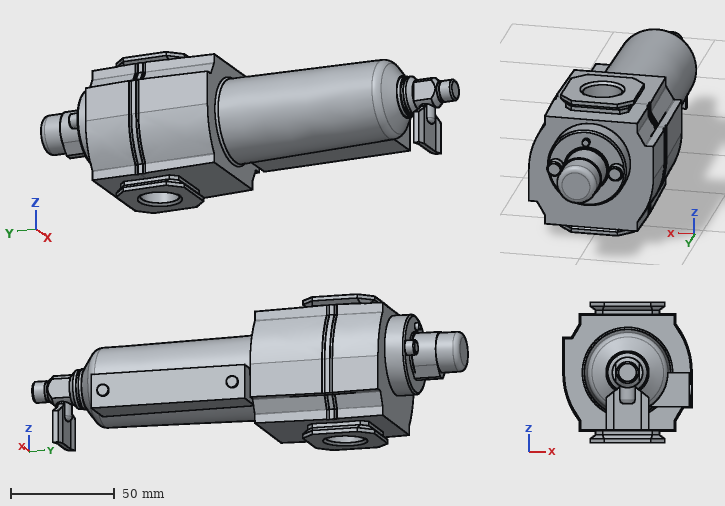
import cadquery as cq
import math


HOUSING_TOP_Y = 25.5
HOUSING_BOTTOM_Y = -38.8
HOUSING_WIDTH = 62.4
HOUSING_HALF_HEIGHT = 28.3
FACE_HALF_WIDTH = 23.3
SHOULDER_Z = 23.3
LEDGE_Z = 17.0
LEDGE_INNER_X = 27.0
DRAFT_ANGLE = 1.0
BAND_HALF_LENGTH = 2.5
BAND_DEPTH = 0.1
GROOVE_WIDTH = 1.3
GROOVE_DEPTH = 0.6

FLANGE_SIZE = 36.0
FLANGE_CORNER = 6.7
OVERALL_HEIGHT = 68.0
FLANGE_FACE_Z = OVERALL_HEIGHT / 2
FLANGE_RIM = 2.0
FLANGE_TAPER_HEIGHT = 2.0
FLANGE_NECK_SIZE = 30.9
FLANGE_NECK_CORNER = 3.5
FLANGE_NECK_OVERLAP = 2.2
PORT_RADIUS = 9.5
PORT_DEPTH = 17.3
PORT_CHAMFER = 1.3
PORT_TURNS = (0, 180)

CAP_Z = 6.5
CAP_RADIUS = 19.5
CAP_FACE_Y = 35.4
CAP_CHAMFER = 0.9
COLLAR_RADIUS = 11.0
COLLAR_HEIGHT = 1.0
STEM_DIAMETER = 20.5
STEM_RADIUS = STEM_DIAMETER / 2
STEM_TOP_Y = 48.3
KNOB_RADIUS = 9.7
KNOB_TOP_Y = 59.5
KNOB_ROUND = 2.8
KEEL_DROP = 12.3
SCREW_SPACING = 30.0
SCREW_OFFSET_X = SCREW_SPACING / 2
SCREW_RADIUS = 3.7
SCREW_HEIGHT = 4.7
SCREW_CHAMFER = 0.6
PIN_RADIUS = 1.7
PIN_HEIGHT = 2.0
PIN_OFFSET_Z = 13.8

BOWL_COLLAR_RADIUS = 21.8
BOWL_COLLAR_HEIGHT = 1.3
BOWL_TOP_DIAMETER = 41.6
BOWL_TOP_RADIUS = BOWL_TOP_DIAMETER / 2
BOWL_END_RADIUS = 19.5
BOWL_END_Y = -120.6
BOWL_CONE_START_Y = -124.5
BOWL_CONE_START_RADIUS = 17.3
BOWL_ROUND_MID_Y = -122.8
BOWL_ROUND_MID_RADIUS = 18.8
BOWL_TIP_Y = -129.7
BOWL_TIP_RADIUS = 10.4

GAUGE_OUTER_X = 29.8
GAUGE_INNER_X = 8.6
GAUGE_TOP_Y = -41.9
GAUGE_BOTTOM_Y = -119.0
GAUGE_BOTTOM_Z = -16.6
GAUGE_SCREW_RADIUS = 2.8
GAUGE_SCREW_HEIGHT = 1.3
GAUGE_SCREW_INSET = 6.0

DRAIN_COLLAR_RADIUS = 10.0
DRAIN_COLLAR_END_Y = -131.5
DRAIN_NECK_RADIUS = 9.0
DRAIN_RING_RADIUS = 9.5
DRAIN_RING_START_Y = -132.7
DRAIN_RING_END_Y = -134.2
DRAIN_BODY_RADIUS = 7.3
DRAIN_BODY_START_Y = -136.5
DRAIN_BODY_END_Y = -145.9
DRAIN_TAPER_END_Y = -148.5
DRAIN_FLAT_X = 5.6
SPOUT_GROOVE_RADIUS = 4.7
SPOUT_START_Y = -149.8
SPOUT_RADIUS = 5.2
SPOUT_END_Y = -156.2
SPOUT_CHAMFER = 0.9

LEVER_Y = -141.3
LEVER_STEM_RADIUS = 3.9
LEVER_STEM_BOTTOM_Z = -15.0
LEVER_STEM_ROUND = 2.0
LEVER_BOTTOM_Z = -27.6
LEVER_WIDTH = 20.5
LEVER_HALF_WIDTH = LEVER_WIDTH / 2
LEVER_THICKNESS = 2.8
LEVER_BEND_X = 6.7
LEVER_BEND_RISE = 1.3
LEVER_SHOULDER_Z = -12.0
LEVER_TOP_HALF_WIDTH = 4.3
LEVER_TOP_Z = -7.3


def cylinder_along_y(radius, start_y, end_y, x=0.0, z=0.0):
    """Cylinder parallel to Y, running from start_y to end_y."""
    direction = cq.Vector(0, math.copysign(1, end_y - start_y), 0)
    base = cq.Vector(x, start_y, z)
    return cq.Workplane(cq.Solid.makeCylinder(radius, abs(end_y - start_y), base, direction))


def box_between(x_range, y_range, z_range):
    """Box given by its lower and upper limit along each axis."""
    sizes = [high - low for low, high in (x_range, y_range, z_range)]
    return cq.Workplane().box(*sizes, centered=False).translate((x_range[0], y_range[0], z_range[0]))


def spin_about_y(profile):
    """Revolve a closed profile of (radius, y) about the Y axis."""
    return profile.close().revolve(360, (0, 0), (0, 1))


def housing_outline(y, side_inset=0.0):
    """Cross-section at y: an arc on one half of each side, a stepped ledge on the other."""
    half_width = HOUSING_WIDTH / 2 + BAND_HALF_LENGTH * math.tan(math.radians(DRAFT_ANGLE))
    side = half_width - side_inset
    face = FACE_HALF_WIDTH - side_inset
    ledge = LEDGE_INNER_X - side_inset
    bulge = side - face
    arc_radius = (bulge**2 + SHOULDER_Z**2) / (2 * bulge)
    half_angle = math.asin(SHOULDER_Z / arc_radius) / 2
    arc_mid_x = side - arc_radius * (1 - math.cos(half_angle))
    arc_mid_z = arc_radius * math.sin(half_angle)
    outline = cq.Workplane("XZ", origin=(0, y, 0)).moveTo(face, HOUSING_HALF_HEIGHT)
    for turn in (1, -1):
        outline = (
            outline.lineTo(turn * face, turn * SHOULDER_Z)
            .threePointArc((turn * arc_mid_x, turn * arc_mid_z), (turn * side, 0))
            .lineTo(turn * side, -turn * LEDGE_Z)
            .lineTo(turn * ledge, -turn * LEDGE_Z)
            .lineTo(turn * face, -turn * SHOULDER_Z)
            .lineTo(turn * face, -turn * HOUSING_HALF_HEIGHT)
        )
        if turn == 1:
            outline = outline.lineTo(-face, -HOUSING_HALF_HEIGHT)
    return outline.close()


def side_recess(start_y, length, depth):
    """Straight-walled cutter across both sides; the port faces stay uncut."""
    kept_core = housing_outline(start_y, depth).extrude(length)
    return housing_outline(start_y).extrude(length).cut(kept_core)


def octagon(z, size, corner):
    """Square with cut corners on a plane of constant z."""
    half_size = size / 2
    flat = half_size - corner
    corners = [
        (half_size, flat), (flat, half_size), (-flat, half_size), (-half_size, flat),
        (-half_size, -flat), (-flat, -half_size), (flat, -half_size), (half_size, -flat),
    ]
    return cq.Workplane("XY", origin=(0, 0, z)).polyline(corners).close()


def port_flange():
    """Upper flange: rim, tapered underside and neck reaching into the housing."""
    rim_z = FLANGE_FACE_Z - FLANGE_RIM
    neck_z = rim_z - FLANGE_TAPER_HEIGHT
    neck_root_z = HOUSING_HALF_HEIGHT - FLANGE_NECK_OVERLAP
    rim = octagon(rim_z, FLANGE_SIZE, FLANGE_CORNER).extrude(FLANGE_RIM)
    rim_wire = octagon(rim_z, FLANGE_SIZE, FLANGE_CORNER).wire().val()
    neck_wire = octagon(neck_z, FLANGE_NECK_SIZE, FLANGE_NECK_CORNER).wire().val()
    taper = cq.Workplane(cq.Solid.makeLoft([neck_wire, rim_wire], True))
    neck = octagon(neck_root_z, FLANGE_NECK_SIZE, FLANGE_NECK_CORNER).extrude(neck_z - neck_root_z)
    return rim.union(taper).union(neck)


def port_bore():
    """Blind bore of the upper port with a countersunk mouth."""
    floor_z = FLANGE_FACE_Z - PORT_DEPTH
    bore = cq.Workplane("XY", origin=(0, 0, floor_z)).circle(PORT_RADIUS).extrude(PORT_DEPTH)
    mouth = cq.Solid.makeCone(
        PORT_RADIUS, PORT_RADIUS + PORT_CHAMFER, PORT_CHAMFER, cq.Vector(0, 0, FLANGE_FACE_Z - PORT_CHAMFER)
    )
    return bore.union(cq.Workplane(mouth))


def make_housing():
    upper = housing_outline(0).extrude(-HOUSING_TOP_Y, taper=DRAFT_ANGLE)
    lower = housing_outline(0).extrude(-HOUSING_BOTTOM_Y, taper=DRAFT_ANGLE)
    body = upper.union(lower)
    body = body.cut(side_recess(BAND_HALF_LENGTH, 2 * BAND_HALF_LENGTH, BAND_DEPTH))
    for groove_start_y in (BAND_HALF_LENGTH, GROOVE_WIDTH - BAND_HALF_LENGTH):
        body = body.cut(side_recess(groove_start_y, GROOVE_WIDTH, GROOVE_DEPTH))
    for turn in PORT_TURNS:
        body = body.union(port_flange().rotate((0, 0, 0), (0, 1, 0), turn))
        body = body.cut(port_bore().rotate((0, 0, 0), (0, 1, 0), turn))
    return body


def stem_keel():
    """Keel under the stem: two 45 degree faces tangent to it, ending in a narrow flat."""
    tangent_offset = STEM_RADIUS / math.sqrt(2)
    flat_half_width = STEM_RADIUS * math.sqrt(2) - KEEL_DROP
    return (
        cq.Workplane("XZ", origin=(0, STEM_TOP_Y, CAP_Z))
        .moveTo(0, 0)
        .lineTo(tangent_offset, -tangent_offset)
        .lineTo(flat_half_width, -KEEL_DROP)
        .lineTo(-flat_half_width, -KEEL_DROP)
        .lineTo(-tangent_offset, -tangent_offset)
        .close()
        .extrude(STEM_TOP_Y - CAP_FACE_Y)
    )


def make_indicator_cap():
    disc = cylinder_along_y(CAP_RADIUS, HOUSING_TOP_Y, CAP_FACE_Y, z=CAP_Z).faces(">Y").chamfer(CAP_CHAMFER)
    collar_top_y = CAP_FACE_Y + COLLAR_HEIGHT
    collar = cylinder_along_y(COLLAR_RADIUS, CAP_FACE_Y, collar_top_y, z=CAP_Z)
    stem = cylinder_along_y(STEM_RADIUS, CAP_FACE_Y, STEM_TOP_Y, z=CAP_Z)
    knob = cylinder_along_y(KNOB_RADIUS, STEM_TOP_Y, KNOB_TOP_Y, z=CAP_Z).faces(">Y").fillet(KNOB_ROUND)
    cap = disc.union(collar).union(stem).union(knob).union(stem_keel())
    for x in (-SCREW_OFFSET_X, SCREW_OFFSET_X):
        screw_head = cylinder_along_y(SCREW_RADIUS, CAP_FACE_Y, CAP_FACE_Y + SCREW_HEIGHT, x, CAP_Z)
        cap = cap.union(screw_head.faces(">Y").chamfer(SCREW_CHAMFER))
    pin = cylinder_along_y(PIN_RADIUS, CAP_FACE_Y, CAP_FACE_Y + PIN_HEIGHT, z=CAP_Z + PIN_OFFSET_Z)
    return cap.union(pin)


def make_bowl():
    profile = (
        cq.Workplane("XY")
        .moveTo(0, HOUSING_BOTTOM_Y)
        .lineTo(BOWL_COLLAR_RADIUS, HOUSING_BOTTOM_Y)
        .lineTo(BOWL_TOP_RADIUS, HOUSING_BOTTOM_Y - BOWL_COLLAR_HEIGHT)
        .lineTo(BOWL_END_RADIUS, BOWL_END_Y)
        .threePointArc(
            (BOWL_ROUND_MID_RADIUS, BOWL_ROUND_MID_Y), (BOWL_CONE_START_RADIUS, BOWL_CONE_START_Y)
        )
        .lineTo(BOWL_TIP_RADIUS, BOWL_TIP_Y)
        .lineTo(0, BOWL_TIP_Y)
    )
    return spin_about_y(profile)


def make_sight_gauge(bowl):
    """Block against the bowl, its inner side shaped by the bowl wall."""
    block = box_between((GAUGE_INNER_X, GAUGE_OUTER_X), (GAUGE_BOTTOM_Y, GAUGE_TOP_Y), (GAUGE_BOTTOM_Z, 0))
    gauge = block.cut(bowl)
    for y in (GAUGE_TOP_Y - GAUGE_SCREW_INSET, GAUGE_BOTTOM_Y + GAUGE_SCREW_INSET):
        screw_plane = cq.Workplane("YZ", origin=(GAUGE_OUTER_X, y, GAUGE_BOTTOM_Z / 2))
        gauge = gauge.union(screw_plane.circle(GAUGE_SCREW_RADIUS).extrude(GAUGE_SCREW_HEIGHT))
    return gauge


def drain_stem():
    """Turned core: collar, ring and a body with two flats, then the spout."""
    fitting = spin_about_y(
        cq.Workplane("XY")
        .moveTo(0, BOWL_TIP_Y)
        .lineTo(DRAIN_COLLAR_RADIUS, BOWL_TIP_Y)
        .lineTo(DRAIN_COLLAR_RADIUS, DRAIN_COLLAR_END_Y)
        .lineTo(DRAIN_NECK_RADIUS, DRAIN_COLLAR_END_Y)
        .lineTo(DRAIN_NECK_RADIUS, DRAIN_RING_START_Y)
        .lineTo(DRAIN_RING_RADIUS, DRAIN_RING_START_Y)
        .lineTo(DRAIN_RING_RADIUS, DRAIN_RING_END_Y)
        .lineTo(DRAIN_BODY_RADIUS, DRAIN_BODY_START_Y)
        .lineTo(0, DRAIN_BODY_START_Y)
    )
    body = spin_about_y(
        cq.Workplane("XY")
        .moveTo(0, DRAIN_BODY_START_Y)
        .lineTo(DRAIN_BODY_RADIUS, DRAIN_BODY_START_Y)
        .lineTo(DRAIN_BODY_RADIUS, DRAIN_BODY_END_Y)
        .lineTo(SPOUT_RADIUS, DRAIN_TAPER_END_Y)
        .lineTo(0, DRAIN_TAPER_END_Y)
    )
    between_flats = box_between(
        (-DRAIN_FLAT_X, DRAIN_FLAT_X),
        (DRAIN_TAPER_END_Y, DRAIN_BODY_START_Y),
        (-DRAIN_BODY_RADIUS, DRAIN_BODY_RADIUS),
    )
    spout_neck = cylinder_along_y(SPOUT_GROOVE_RADIUS, DRAIN_TAPER_END_Y, SPOUT_START_Y)
    spout = cylinder_along_y(SPOUT_RADIUS, SPOUT_START_Y, SPOUT_END_Y).faces("<Y").chamfer(SPOUT_CHAMFER)
    return fitting.union(body.intersect(between_flats)).union(spout_neck).union(spout)


def drain_lever():
    """Round stem below the valve body, carrying a wing with oppositely bent tips."""
    stem = (
        cq.Workplane("XY", origin=(0, LEVER_Y, LEVER_STEM_BOTTOM_Z))
        .circle(LEVER_STEM_RADIUS)
        .extrude(-LEVER_STEM_BOTTOM_Z)
        .faces("<Z")
        .fillet(LEVER_STEM_ROUND)
    )
    centre_line = [
        (-LEVER_HALF_WIDTH, LEVER_BEND_RISE), (-LEVER_BEND_X, 0),
        (LEVER_BEND_X, 0), (LEVER_HALF_WIDTH, -LEVER_BEND_RISE),
    ]
    back = [(x, y + LEVER_THICKNESS / 2) for x, y in centre_line]
    front = [(x, y - LEVER_THICKNESS / 2) for x, y in reversed(centre_line)]
    plan = (
        cq.Workplane("XY", origin=(0, LEVER_Y, LEVER_BOTTOM_Z))
        .polyline(back + front)
        .close()
        .extrude(LEVER_TOP_Z - LEVER_BOTTOM_Z)
    )
    wing_depth = LEVER_THICKNESS + 2 * LEVER_BEND_RISE
    elevation = (
        cq.Workplane("XZ", origin=(0, LEVER_Y, 0))
        .polyline([
            (-LEVER_HALF_WIDTH, LEVER_BOTTOM_Z), (LEVER_HALF_WIDTH, LEVER_BOTTOM_Z),
            (LEVER_HALF_WIDTH, LEVER_SHOULDER_Z), (LEVER_TOP_HALF_WIDTH, LEVER_TOP_Z),
            (-LEVER_TOP_HALF_WIDTH, LEVER_TOP_Z), (-LEVER_HALF_WIDTH, LEVER_SHOULDER_Z),
        ])
        .close()
        .extrude(wing_depth, both=True)
    )
    return stem.union(plan.intersect(elevation))


def make_drain_valve():
    return drain_stem().union(drain_lever())


housing = make_housing()
indicator_cap = make_indicator_cap()
bowl = make_bowl()
sight_gauge = make_sight_gauge(bowl)
drain_valve = make_drain_valve()

result = cq.Compound.makeCompound([
    housing.val(),
    indicator_cap.val(),
    bowl.val(),
    sight_gauge.val(),
    drain_valve.val(),
])